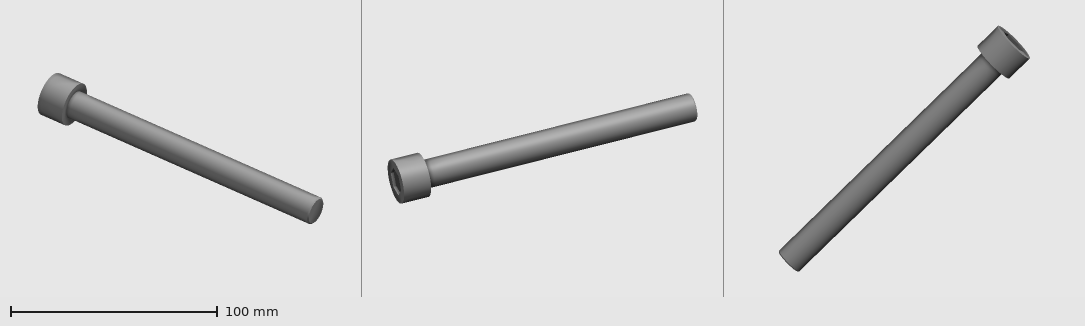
import cadquery as cq
import math

total_length = 154.0
head_diameter = 22.0
shank_diameter = 14.0
head_length = shank_diameter
tip_chamfer = 0.6

socket_across_flats = 12.0
socket_depth = 1.5
socket_across_corners = socket_across_flats / math.cos(math.pi / 6)

head_face_x = -total_length / 2


def make_shank():
    """Full-length rod with a chamfered tip at the +X end."""
    rod = cq.Workplane("YZ", origin=(head_face_x, 0, 0)).circle(shank_diameter / 2).extrude(total_length)
    return rod.faces(">X").chamfer(tip_chamfer)


def make_head():
    """Plain cylindrical head."""
    return cq.Workplane("YZ", origin=(head_face_x, 0, 0)).circle(head_diameter / 2).extrude(head_length)


def make_socket():
    """Hexagonal prism with corners on the Y axis, cut into the head face."""
    return (
        cq.Workplane("YZ", origin=(head_face_x, 0, 0))
        .polygon(6, socket_across_corners)
        .extrude(socket_depth)
    )


result = make_shank().union(make_head()).cut(make_socket())